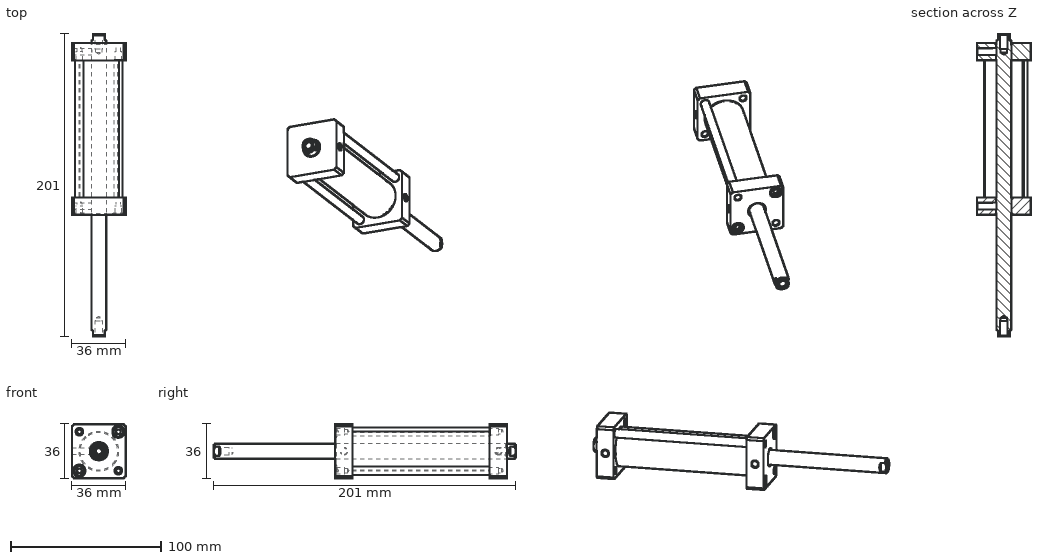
import cadquery as cq
import math


total_length = 201.0
rod_front_length = 80.8
rod_rear_length = 5.8
plate_thickness = 11.7
plate_gap = total_length - rod_front_length - rod_rear_length - 2 * plate_thickness
front_inner_y = plate_thickness
rear_inner_y = front_inner_y + plate_gap

plate_width = 36.0
plate_corner_chamfer = 1.6
corner_edge_distance = 5.0
corner_offset = plate_width / 2 - corner_edge_distance
drill_point_angle = 118

gland_diameter = 10.0
gland_mouth_diameter = 12.0

port_diameter = 4.2
port_mouth_diameter = 5.0

mount_diameter = 4.2
mount_mouth_diameter = 4.8
mount_depth = 6.0
mount_core_diameter = 3.2
mount_core_depth = 8.0

recess_mouth_diameter = 8.0
recess_diameter = 7.5
recess_depth = 0.8
recess_floor_diameter = 6.5
recess_floor_depth = 1.2
dimple_diameter = 3.2

barrel_diameter = 26.5
barrel_bore = 25.0
tie_rod_diameter = 5.8

rod_diameter = 10.0
rod_end_chamfer = 1.0
flat_width = 8.0
flat_length = 3.6
rod_hole_diameter = 4.8
rod_core_diameter = 4.2
rod_hole_mouth_diameter = 6.0
rod_hole_depth = 10.0
rod_core_depth = 12.0

to_rear = (0, 1, 0)
to_front = (0, -1, 0)
to_right = (1, 0, 0)

tie_corners = [(-corner_offset, corner_offset), (corner_offset, -corner_offset)]
open_corners = [(corner_offset, corner_offset), (-corner_offset, -corner_offset)]


def bar(diameter, length, center, direction):
    """Cylinder that starts at center and runs along direction."""
    return cq.Workplane(cq.Solid.makeCylinder(diameter / 2, length, cq.Vector(*center), cq.Vector(*direction)))


def cylinder(diameter, start_y, length, x=0.0, z=0.0):
    """Cylinder that runs from start_y in the +Y direction."""
    return bar(diameter, length, (x, start_y, z), to_rear)


def countersink(mouth_diameter, floor_diameter, center, inward):
    """45 degree cone that narrows from mouth to floor along the inward direction."""
    mouth_radius = mouth_diameter / 2
    floor_radius = floor_diameter / 2
    depth = mouth_radius - floor_radius
    cone = cq.Solid.makeCone(mouth_radius, floor_radius, depth, cq.Vector(*center), cq.Vector(*inward))
    return cq.Workplane(cone)


def drilled_hole(diameter, depth, center, inward):
    """Blind hole with a drill point at its bottom."""
    radius = diameter / 2
    start = cq.Vector(*center)
    direction = cq.Vector(*inward)
    point_length = radius / math.tan(math.radians(drill_point_angle / 2))
    shaft = bar(diameter, depth, center, inward)
    point = cq.Workplane(cq.Solid.makeCone(radius, 0, point_length, start + direction * depth, direction))
    return shaft.union(point)


def stepped_hole(mouth_diameter, diameter, depth, core_diameter, core_depth, center, inward):
    """Hole with a countersunk mouth and a narrower drilled core that reaches deeper."""
    wide = bar(diameter, depth, center, inward)
    core = drilled_hole(core_diameter, core_depth, center, inward)
    mouth = countersink(mouth_diameter, diameter, center, inward)
    return core.union(wide).union(mouth)


def mounting_hole(center):
    """Mounting hole that runs in the +Y direction."""
    return stepped_hole(
        mount_mouth_diameter,
        mount_diameter,
        mount_depth,
        mount_core_diameter,
        mount_core_depth,
        center,
        to_rear,
    )


def corner_recess(x, z):
    """Countersunk two-step recess in the front face, with a conical dimple in its floor."""
    mouth = countersink(recess_mouth_diameter, recess_diameter, (x, 0, z), to_rear)
    wide = cylinder(recess_diameter, 0, recess_depth, x, z)
    floor = cylinder(recess_floor_diameter, 0, recess_floor_depth, x, z)
    dimple = drilled_hole(dimple_diameter, recess_floor_depth, (x, 0, z), to_rear)
    return mouth.union(wide).union(floor).union(dimple)


def plate_blank(start_y):
    """Square plate with chamfered corners, a rod bore and an air port."""
    middle_y = start_y + plate_thickness / 2
    plate = cq.Workplane("XY").box(plate_width, plate_thickness, plate_width).translate((0, middle_y, 0))
    plate = plate.edges("|Y").chamfer(plate_corner_chamfer)
    plate = plate.cut(cylinder(gland_diameter, start_y, plate_thickness))

    port_start = (-plate_width / 2, middle_y, 0)
    plate = plate.cut(bar(port_diameter, plate_width / 2, port_start, to_right))
    return plate.cut(countersink(port_mouth_diameter, port_diameter, port_start, to_right))


def make_front_plate():
    """Plate with mounting holes on the tie rod diagonal and recesses on the other."""
    plate = plate_blank(0)
    plate = plate.cut(countersink(gland_mouth_diameter, gland_diameter, (0, 0, 0), to_rear))
    for x, z in tie_corners:
        plate = plate.cut(mounting_hole((x, 0, z)))
    for x, z in open_corners:
        plate = plate.cut(corner_recess(x, z))
    return plate


def make_rear_plate():
    """Plate with mounting holes in its inner face, on the diagonal without tie rods."""
    plate = plate_blank(rear_inner_y)
    outer_y = rear_inner_y + plate_thickness
    plate = plate.cut(countersink(gland_mouth_diameter, gland_diameter, (0, outer_y, 0), to_front))
    for x, z in open_corners:
        plate = plate.cut(mounting_hole((x, rear_inner_y, z)))
    return plate


def make_barrel():
    """Tube clamped between the two plates."""
    outside = cylinder(barrel_diameter, front_inner_y, plate_gap)
    return outside.cut(cylinder(barrel_bore, front_inner_y, plate_gap))


def make_tie_rod(x, z):
    """Round rod between the inner faces of the plates."""
    return cylinder(tie_rod_diameter, front_inner_y, plate_gap, x, z)


def flat_cutter(end_y, inward, side):
    """Cutter for one wrench flat with a 45 degree run-out; inward is the sign of Y into the rod."""
    flat_x = side * flat_width / 2
    surface_x = side * rod_diameter / 2
    flat_depth = (rod_diameter - flat_width) / 2
    outline = [
        (flat_x, end_y),
        (flat_x, end_y + inward * flat_length),
        (surface_x, end_y + inward * (flat_length + flat_depth)),
        (surface_x, end_y),
    ]
    return cq.Workplane("XY").polyline(outline).close().extrude(rod_diameter / 2, both=True)


def rod_end_hole(end_y, direction):
    """Threaded hole in one end of the piston rod."""
    return stepped_hole(
        rod_hole_mouth_diameter,
        rod_hole_diameter,
        rod_hole_depth,
        rod_core_diameter,
        rod_core_depth,
        (0, end_y, 0),
        direction,
    )


def make_piston_rod():
    """Rod with chamfered ends, two wrench flats and a threaded hole at each end."""
    front_y = -rod_front_length
    rear_y = front_y + total_length
    rod = cylinder(rod_diameter, front_y, total_length).edges("%CIRCLE").chamfer(rod_end_chamfer)
    for end_y, inward, direction in ((front_y, 1, to_rear), (rear_y, -1, to_front)):
        for side in (-1, 1):
            rod = rod.cut(flat_cutter(end_y, inward, side))
        rod = rod.cut(rod_end_hole(end_y, direction))
    return rod


front_plate = make_front_plate()
rear_plate = make_rear_plate()
barrel = make_barrel()
piston_rod = make_piston_rod()
tie_rods = [make_tie_rod(x, z) for x, z in tie_corners]

result = cq.Compound.makeCompound(
    [
        front_plate.val(),
        rear_plate.val(),
        barrel.val(),
        piston_rod.val(),
        *[tie_rod.val() for tie_rod in tie_rods],
    ]
)